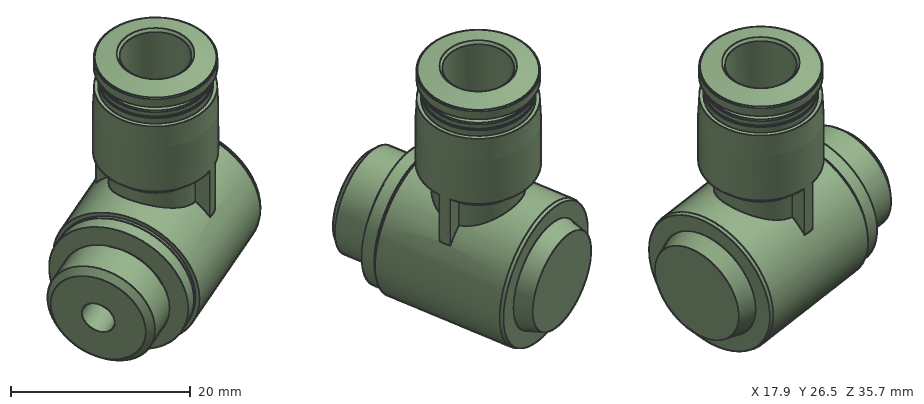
import cadquery as cq


barrel_dia = 17.9
barrel_back = 8.88
barrel_front = -7.9
barrel_edge_length = 0.43
barrel_edge_depth = 0.15
cap_end = 11.0
cap_base_dia = 13.48
cap_end_dia = 12.2
collar_neck_dia = 16.9
collar_dia = 17.0
collar_back = -8.35
collar_front = -9.98
stud_end = -15.47
stud_dia = 13.15
stud_chamfer = 0.8

top_z = 26.7
body_neck_dia = 10.48
cone_bottom_z = 10.65
cone_top_z = 12.45
body_dia = 14.0
taper_bottom_z = 18.93
body_top_dia = 13.73
body_top_z = 21.92
ring_dia = 12.8
ring_groove_dia = 12.48
ring_groove_bottom_z = 22.75
ring_groove_top_z = 23.03
ring_top_z = 23.85
ring_chamfer = 0.2
ring_edge_depth = 0.07
release_neck_dia = 9.8
flange_dia = 13.8
flange_bottom_z = 24.8
flange_edge_z = 26.13
flange_chamfer = 0.15

tube_bore_dia = 8.0
tube_bore_floor_z = 12.48
bore_chamfer = 0.32
passage_dia = 4.0
rib_width = 1.45


def revolve_about_y(profile):
    """Revolve (diameter, y) steps into a solid about the Y axis."""
    points = [(0, profile[0][1])]
    points += [(dia / 2, y) for dia, y in profile]
    points.append((0, profile[-1][1]))
    return cq.Workplane("XY").polyline(points).close().revolve(360, (0, 0), (0, 1))


def revolve_about_z(profile):
    """Revolve (diameter, z) steps into a solid about the Z axis."""
    return revolve_about_y(profile).rotate((0, 0, 0), (1, 0, 0), 90)


def make_barrel():
    edge_dia = barrel_dia - 2 * barrel_edge_depth
    stud_edge_dia = stud_dia - 2 * stud_chamfer
    return revolve_about_y([
        (stud_edge_dia, stud_end),
        (stud_dia, stud_end + stud_chamfer),
        (stud_dia, collar_front - stud_chamfer),
        (stud_edge_dia, collar_front),
        (collar_dia, collar_front),
        (collar_dia, collar_back),
        (collar_neck_dia, collar_back),
        (collar_neck_dia, barrel_front),
        (barrel_dia, barrel_front),
        (barrel_dia, barrel_back - barrel_edge_length),
        (edge_dia, barrel_back),
        (cap_base_dia, barrel_back),
        (cap_end_dia, cap_end),
    ])


def make_socket():
    return revolve_about_z([
        (body_neck_dia, 0),
        (body_neck_dia, cone_bottom_z),
        (body_dia, cone_top_z),
        (body_dia, taper_bottom_z),
        (body_top_dia, body_top_z),
        (ring_dia, body_top_z),
        (ring_dia, ring_groove_bottom_z),
        (ring_groove_dia, ring_groove_bottom_z),
        (ring_groove_dia, ring_groove_top_z),
        (ring_dia, ring_groove_top_z),
        (ring_dia, ring_top_z - ring_chamfer),
        (ring_dia - 2 * ring_edge_depth, ring_top_z),
        (release_neck_dia, ring_top_z),
        (release_neck_dia, flange_bottom_z),
        (flange_dia, flange_bottom_z),
        (flange_dia, flange_edge_z - flange_chamfer),
        (flange_dia - 2 * flange_chamfer, flange_edge_z),
        (tube_bore_dia + 2 * bore_chamfer, top_z),
    ])


def make_ribs():
    """Flat plate across the socket neck, showing as a rib on each side."""
    envelope = cq.Workplane("XY").circle(body_dia / 2).extrude(cone_top_z)
    plate = cq.Workplane("XY").rect(body_dia, rib_width).extrude(cone_top_z)
    return plate.intersect(envelope)


def make_tube_bore():
    return revolve_about_z([
        (tube_bore_dia, tube_bore_floor_z),
        (tube_bore_dia, top_z - bore_chamfer),
        (tube_bore_dia + 2 * bore_chamfer, top_z),
    ])


def make_elbow_passage():
    """Passage from the stud end to the tube bore, rounded at the turn."""
    radius = passage_dia / 2
    along_stud = cq.Workplane("XZ").circle(radius).extrude(-stud_end)
    up_socket = cq.Workplane("XY").circle(radius).extrude(tube_bore_floor_z)
    return along_stud.union(up_socket).union(cq.Workplane("XY").sphere(radius))


outside = make_barrel().union(make_socket()).union(make_ribs())
result = outside.cut(make_tube_bore()).cut(make_elbow_passage())